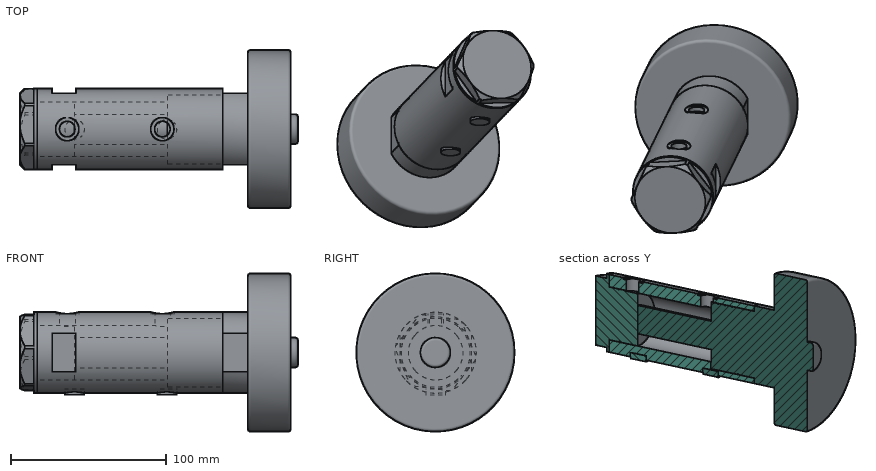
import cadquery as cq
import math


barrel_start = 11.1
barrel_end = 130.7
barrel_radius = 26.1
bore_radius = 17.5
counterbore_radius = 22.2
half_across_flats = 23.1

flat_start = 20.8
flat_length = 15.2

port_positions = (30.5, 91.7)
port_radius = 5.0
spotface_radius = 7.5
spotface_height = 25.0

hexagon_length = 9.0
hexagon_turn = -7.5
plug_end = 34.9

spigot_start = 94.9
flange_start = 146.6
flange_end = 174.4
flange_radius = 51.0
edge_fillet = 2.0
rod_radius = 9.7
rod_end = 179.0

pin_positions = (35.0, 94.5)
pin_radius = 6.3
pin_tip = 27.2
pin_seat = 23.3


def cylinder_along_x(radius, start, end):
    """Solid cylinder on the X axis."""
    return cq.Workplane("YZ").workplane(offset=start).circle(radius).extrude(end - start)


def cylinder_along_z(radius, x, bottom, top):
    """Solid upright cylinder that crosses the X axis line at x."""
    return cq.Workplane("XY").workplane(offset=bottom).center(x, 0).circle(radius).extrude(top - bottom)


def cut_flats(body, start, length):
    """Cut a pair of parallel flats that face -Y and +Y."""
    depth = barrel_radius - half_across_flats
    middle = half_across_flats + depth / 2
    for side in (-1, 1):
        cutter = cq.Workplane("XY").box(length, depth, 2 * barrel_radius)
        body = body.cut(cutter.translate((start + length / 2, side * middle, 0)))
    return body


def make_barrel():
    """Counterbored tube with spanner flats, two spotfaced ports and two pin holes."""
    barrel = cylinder_along_x(barrel_radius, barrel_start, barrel_end)
    barrel = barrel.cut(cylinder_along_x(bore_radius, barrel_start, barrel_end))
    barrel = barrel.cut(cylinder_along_x(counterbore_radius, spigot_start, barrel_end))
    barrel = cut_flats(barrel, flat_start, flat_length)
    for x in port_positions:
        barrel = barrel.cut(cylinder_along_z(spotface_radius, x, spotface_height, barrel_radius))
        barrel = barrel.cut(cylinder_along_z(port_radius, x, 0, barrel_radius))
    for x in pin_positions:
        barrel = barrel.cut(make_pin(x))
    return barrel


def make_plug():
    """Hexagon with a chamfered end, a collar as wide as the barrel, and a spigot in the bore."""
    across_corners = 2 * half_across_flats / math.cos(math.radians(30))
    hexagon = cq.Workplane("YZ").polygon(6, across_corners).extrude(hexagon_length)
    hexagon = hexagon.rotate((0, 0, 0), (1, 0, 0), hexagon_turn)
    chamfered_blank = cylinder_along_x(barrel_radius, 0, hexagon_length)
    chamfered_blank = chamfered_blank.faces("<X").chamfer(barrel_radius - half_across_flats)
    collar = cylinder_along_x(barrel_radius, hexagon_length, barrel_start)
    spigot = cylinder_along_x(bore_radius, barrel_start, plug_end)
    return hexagon.intersect(chamfered_blank).union(collar).union(spigot)


def make_rod():
    """Rod from the plug's spigot to a tip with a rounded edge."""
    return cylinder_along_x(rod_radius, plug_end, rod_end).faces(">X").edges().fillet(edge_fillet)


def make_head():
    """Flange on a flatted neck, with a spigot in the counterbore and a rod along the axis."""
    neck = cylinder_along_x(barrel_radius, barrel_end, flange_start)
    neck = cut_flats(neck, barrel_end, flange_start - barrel_end)
    flange = cylinder_along_x(flange_radius, flange_start, flange_end).edges().fillet(edge_fillet)
    spigot = cylinder_along_x(counterbore_radius, spigot_start, barrel_end)
    return flange.union(neck).union(spigot).union(make_rod())


def make_pin(x):
    """Short pin that stands slightly proud of the underside of the barrel."""
    return cylinder_along_z(pin_radius, x, -pin_tip, -pin_seat)


barrel = make_barrel()
plug = make_plug()
head = make_head()
pins = [make_pin(x) for x in pin_positions]

result = cq.Compound.makeCompound([barrel.val(), plug.val(), head.val(), *[pin.val() for pin in pins]])